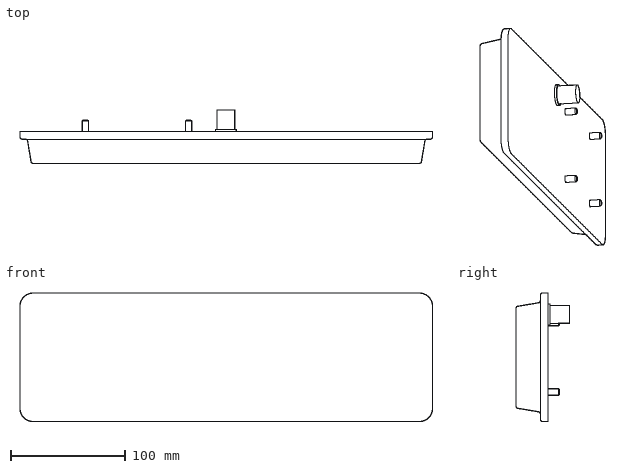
import cadquery as cq


flange_length = 362.0
flange_height = 113.0
flange_thickness = 7.0
flange_corner_radius = 12.0
flange_edge_fillet = 2.0

lens_margin_x = 6.5
lens_margin_z = 8.5
lens_depth = 21.5
lens_draft = 9.5
lens_corner_radius = 6.5
lens_root_fillet = 1.8
lens_front_fillet = 2.0
seam_margin = 0.5

gland_diameter = 16.0
gland_reach = 19.0
gland_offset = -0.5
gland_height = 37.5
collar_diameter = 18.5
collar_thickness = 1.8

stud_diameter = 5.8
stud_length = 10.0
stud_chamfer = 1.0
stud_columns = (-123.5, -33.0)
stud_spacing_z = 60.8

flange_front = -flange_thickness


def rounded_plate(length, height, radius, depth, start_y, taper=0.0):
    """Rounded rectangle in XZ, extruded toward -Y from start_y."""
    outline = cq.Sketch().rect(length, height).vertices().fillet(radius)
    plane = cq.Workplane("XZ", origin=(0, start_y, 0))
    return plane.placeSketch(outline).extrude(depth, taper=taper)


def rear_cylinder(diameter, length, x, z):
    """Cylinder standing on the mounting plane and pointing toward +Y."""
    return cq.Workplane("XZ", origin=(x, 0, z)).circle(diameter / 2).extrude(-length)


def make_housing():
    flange = rounded_plate(
        flange_length, flange_height, flange_corner_radius, flange_thickness, 0
    )
    flange = flange.faces("<Y").edges().fillet(flange_edge_fillet)

    lens_length = flange_length - 2 * lens_margin_x
    lens_height = flange_height - 2 * lens_margin_z
    lens = rounded_plate(
        lens_length, lens_height, lens_corner_radius, lens_depth, flange_front, lens_draft
    )
    lens = lens.faces("<Y").edges().fillet(lens_front_fillet)

    housing = flange.union(lens)
    seam_corner = cq.Vector(lens_length / 2, 0, lens_height / 2) + cq.Vector(1, 1, 1) * seam_margin
    seam_middle = cq.Vector(0, flange_front, 0)
    seam = cq.selectors.BoxSelector(
        (seam_middle - seam_corner).toTuple(), (seam_middle + seam_corner).toTuple(), boundingbox=True
    )
    housing = housing.edges(seam).fillet(lens_root_fillet)

    collar = rear_cylinder(collar_diameter, collar_thickness, gland_offset, gland_height)
    gland = rear_cylinder(gland_diameter, gland_reach, gland_offset, gland_height)
    return housing.union(collar).union(gland)


def make_stud(x, z):
    stud = rear_cylinder(stud_diameter, stud_length, x, z)
    return stud.faces(">Y").edges().chamfer(stud_chamfer)


housing = make_housing()

studs = []
for stud_x in stud_columns:
    for side in (-1, 1):
        studs.append(make_stud(stud_x, side * stud_spacing_z / 2))

result = cq.Compound.makeCompound([housing.val(), *[stud.val() for stud in studs]])